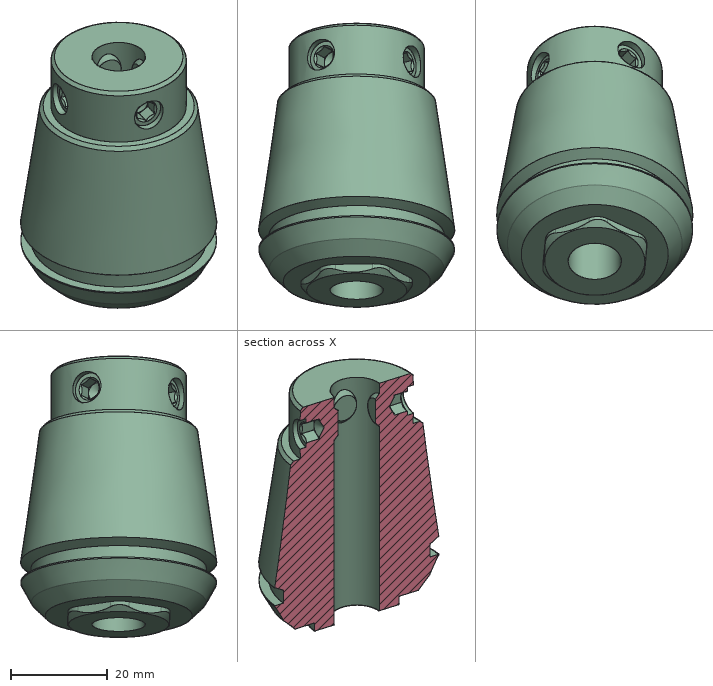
import cadquery as cq
import math

half_hex_angle = 30.0

height = 54.0
bore_diameter = 11.0

head_diameter = 28.0
head_chamfer = 0.7

taper_large_diameter = 40.65
taper_half_angle = 8.0
taper_bottom_z = 13.3
shoulder_z = 41.95
shoulder_chamfer = 0.75

groove_diameter = 36.4
groove_face_angle = 30.0

flange_diameter = 40.55
flange_top_z = 9.05
flange_rim_height = 0.25
flange_corner_diameter = 36.2
flange_corner_z = 4.8
flange_bottom_z = 1.95

hex_across_flats = 21.05
hex_corner_radius = 3.9
hex_bottom_diameter = 20.75

screw_count = 4
screw_z = 47.65
screw_hole_diameter = 6.65
screw_length = 8.0
screw_tip_radius = 4.55
screw_tip_diameter = 5.8
tip_length = 2.0
screw_thread_diameter = 8.0
socket_across_flats = 4.0
socket_chamfer_diameter = 4.85
socket_depth = 3.25
socket_cone_half_angle = 60.0


def across_corners(across_flats):
    """Corner-to-corner size of a hexagon."""
    return across_flats / math.cos(math.radians(half_hex_angle))


def turned_body():
    """Head, taper, groove and flange revolved about Z."""
    head_r = head_diameter / 2
    taper_r = taper_large_diameter / 2
    groove_r = groove_diameter / 2
    flange_r = flange_diameter / 2
    corner_r = flange_corner_diameter / 2
    taper_top_z = shoulder_z - shoulder_chamfer
    taper_top_r = taper_r - (taper_top_z - taper_bottom_z) * math.tan(math.radians(taper_half_angle))
    groove_top_z = taper_bottom_z - (taper_r - groove_r) * math.tan(math.radians(groove_face_angle))
    flange_bottom_r = corner_r - (flange_corner_z - flange_bottom_z)
    profile = [
        (0, flange_bottom_z),
        (flange_bottom_r, flange_bottom_z),
        (corner_r, flange_corner_z),
        (flange_r, flange_top_z - flange_rim_height),
        (flange_r, flange_top_z),
        (groove_r, flange_top_z),
        (groove_r, groove_top_z),
        (taper_r, taper_bottom_z),
        (taper_top_r, taper_top_z),
        (taper_top_r - shoulder_chamfer, shoulder_z),
        (head_r, shoulder_z),
        (head_r, height - head_chamfer),
        (head_r - head_chamfer, height),
        (0, height),
    ]
    return cq.Workplane("XZ").polyline(profile).close().revolve(360, (0, 0, 0), (0, 1, 0))


def hex_end():
    """Rounded hexagon with flats facing +Y and -Y, its lower edge chamfered at 45 degrees."""
    hexagon = (
        cq.Workplane("XY")
        .polygon(6, across_corners(hex_across_flats))
        .extrude(flange_bottom_z)
        .edges("|Z")
        .fillet(hex_corner_radius)
    )
    bottom_r = hex_bottom_diameter / 2
    top_r = bottom_r + flange_bottom_z
    envelope = (
        cq.Workplane("XZ")
        .polyline([(0, 0), (bottom_r, 0), (top_r, flange_bottom_z), (0, flange_bottom_z)])
        .close()
        .revolve(360, (0, 0, 0), (0, 1, 0))
    )
    return hexagon.intersect(envelope)


def cone_on_x(points):
    """Solid of revolution about the X axis from (x, radius) points."""
    return cq.Workplane("XY").polyline(points).close().revolve(360, (0, 0, 0), (1, 0, 0))


def screw_recess():
    """Space outside the screw head together with its hexagon socket, along +X."""
    head_x = screw_tip_radius + screw_length
    floor_x = head_x - socket_depth
    socket_r = socket_across_flats / 2
    chamfer_r = socket_chamfer_diameter / 2
    cone_depth = socket_r / math.tan(math.radians(socket_cone_half_angle))
    recess = (
        cq.Workplane("YZ", origin=(head_x, 0, 0))
        .circle(screw_hole_diameter / 2)
        .extrude(head_diameter / 2 - head_x)
    )
    socket = (
        cq.Workplane("YZ", origin=(floor_x, 0, 0))
        .transformed(rotate=(0, 0, half_hex_angle))
        .polygon(6, across_corners(socket_across_flats))
        .extrude(socket_depth)
    )
    drill_point = cone_on_x([(floor_x - cone_depth, 0), (floor_x, socket_r), (floor_x, 0)])
    mouth = cone_on_x([(head_x - chamfer_r, 0), (head_x, chamfer_r), (head_x, 0)])
    return recess.union(socket).union(drill_point).union(mouth)


def screw_tip():
    """Flat-ended tip with a 45 degree chamfer, reaching into the bore along +X."""
    tip_r = screw_tip_diameter / 2
    thread_r = screw_thread_diameter / 2
    thread_x = screw_tip_radius + thread_r - tip_r
    embedded_x = screw_tip_radius + tip_length
    return cone_on_x([
        (screw_tip_radius, 0),
        (screw_tip_radius, tip_r),
        (thread_x, thread_r),
        (embedded_x, thread_r),
        (embedded_x, 0),
    ])


result = turned_body().union(hex_end())
result = result.cut(cq.Workplane("XY").circle(bore_diameter / 2).extrude(height))

for index in range(screw_count):
    angle = index * 360 / screw_count
    tip = screw_tip().rotate((0, 0, 0), (0, 0, 1), angle).translate((0, 0, screw_z))
    recess = screw_recess().rotate((0, 0, 0), (0, 0, 1), angle).translate((0, 0, screw_z))
    result = result.union(tip).cut(recess)